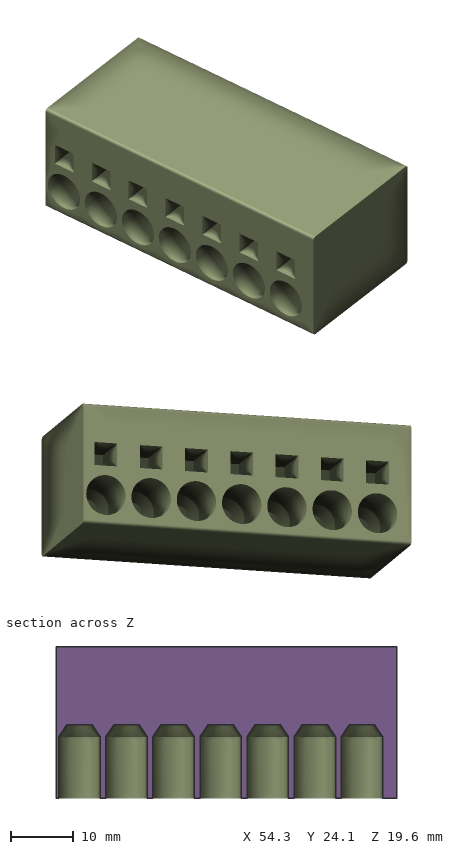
import cadquery as cq

length = 54.3
depth = 24.15
height = 19.6
edge_radius = 0.5

terminal_count = 7
pitch = 7.5
first_terminal_x = -length / 2 + pitch / 2

entry_z = 4.8
entry_diameter = 6.5
entry_depth = 9.8
funnel_floor_diameter = 3.95
funnel_depth = 1.9

opening_z = 11.45
opening_side = 3.75
opening_depth = 8.15


def housing():
    """Block with its four long edges rounded."""
    block = cq.Workplane("XY").box(length, depth, height, centered=(True, False, False))
    return block.edges("|X").fillet(edge_radius)


def wire_entry(x):
    """Straight bore from the front face, ending in a funnel with a flat floor."""
    entry_radius = entry_diameter / 2
    floor_radius = funnel_floor_diameter / 2
    inward = cq.Vector(0, 1, 0)
    bore = cq.Solid.makeCylinder(entry_radius, entry_depth, cq.Vector(x, 0, entry_z), inward)
    funnel = cq.Solid.makeCone(
        entry_radius,
        floor_radius,
        funnel_depth,
        cq.Vector(x, entry_depth, entry_z),
        inward,
    )
    return cq.Workplane(obj=bore.fuse(funnel))


def release_opening(x):
    """Straight square pocket with a flat floor."""
    pocket = cq.Workplane("XY").box(opening_side, opening_depth, opening_side, centered=(True, False, True))
    return pocket.translate((x, 0, opening_z))


result = housing()
for index in range(terminal_count):
    terminal_x = first_terminal_x + index * pitch
    result = result.cut(wire_entry(terminal_x))
    result = result.cut(release_opening(terminal_x))